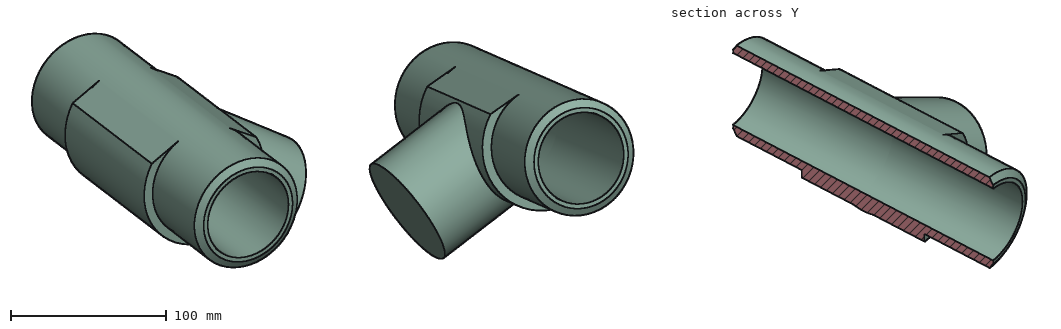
import cadquery as cq
import math

tube_length = 215.5
tube_diameter = 76.3
bore_diameter = 60.0
chamfer_length = 3.0
chamfer_depth = 5.2

sleeve_length = 102.0
sleeve_diameter = 88.8
flat_slope = 30.0

branch_diameter = tube_diameter
branch_reach = 89.0
branch_slope = 32.7

tube_radius = tube_diameter / 2
sleeve_radius = sleeve_diameter / 2


def make_tube():
    """Solid bar along X with a conical chamfer at each end."""
    half_length = tube_length / 2
    shoulder = half_length - chamfer_length
    end_radius = tube_radius - chamfer_depth
    profile = [
        (-half_length, 0),
        (-half_length, end_radius),
        (-shoulder, tube_radius),
        (shoulder, tube_radius),
        (half_length, end_radius),
        (half_length, 0),
    ]
    return cq.Workplane("XY").polyline(profile).close().revolve(360, (0, 0, 0), (1, 0, 0))


def make_sleeve():
    """Round sleeve whose upper sides are cut by flats tangent to the tube."""
    slope = math.radians(flat_slope)
    tangent_y = tube_radius * math.sin(slope)
    tangent_z = tube_radius * math.cos(slope)
    flat_width = math.sqrt(sleeve_radius**2 - tube_radius**2)
    edge_y = tangent_y + flat_width * math.cos(slope)
    edge_z = tangent_z - flat_width * math.sin(slope)
    return (
        cq.Workplane("YZ")
        .moveTo(-edge_y, edge_z)
        .threePointArc((0, -sleeve_radius), (edge_y, edge_z))
        .lineTo(tangent_y, tangent_z)
        .threePointArc((0, tube_radius), (-tangent_y, tangent_z))
        .close()
        .extrude(sleeve_length / 2, both=True)
    )


def make_branch():
    """Round branch running outward from the tube axis."""
    slope = math.radians(branch_slope)
    direction = (0, math.cos(slope), -math.sin(slope))
    base = cq.Plane(origin=(0, 0, 0), xDir=(1, 0, 0), normal=direction)
    return cq.Workplane(base).circle(branch_diameter / 2).extrude(branch_reach)


bore = cq.Workplane("YZ").circle(bore_diameter / 2).extrude(tube_length / 2, both=True)
result = make_tube().union(make_sleeve()).union(make_branch()).cut(bore)